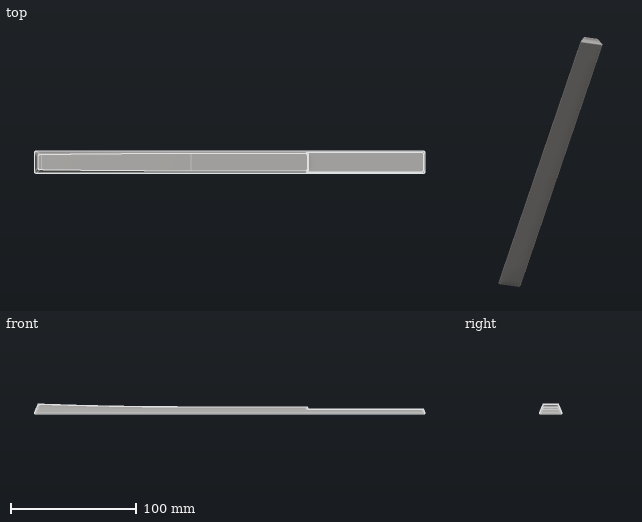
import cadquery as cq
import math

LENGTH = 312.35
WIDTH = 17.98
HEIGHT = 8.0

TONGUE_HEIGHT = 4.0
BODY_HEIGHT = 5.9

HEEL_FLAT_END = 5.8
SWEEP_END = 125.0
STEP_FOOT = 219.0

DRAFT = 23.5
CORNER_RADIUS = 1.5
RIM_RADIUS = 1.0

DRAFT_SLOPE = math.tan(math.radians(DRAFT))

RIM_INSET = RIM_RADIUS * (DRAFT_SLOPE + 1 / math.cos(math.radians(DRAFT)) - 1)


def wall_inset(height):
    """Distance of a wall at this height inward from the widest outline of the part."""
    return height * DRAFT_SLOPE - RIM_INSET


def drafted_block(end_x, bottom, top):
    """Block with leaning walls and rounded corners; its +X wall meets the bottom level at end_x."""
    inset = wall_inset(bottom)
    return (
        cq.Workplane("XY", origin=((inset + end_x) / 2, 0, bottom))
        .rect(end_x - inset, WIDTH - 2 * inset)
        .extrude(top - bottom, taper=DRAFT)
        .edges("not(#Z or |X or |Y)")
        .fillet(CORNER_RADIUS)
    )


def tongue():
    """Full-length lower part with a rounded bottom rim; its top is the tongue level."""
    block = drafted_block(LENGTH - wall_inset(0), 0, TONGUE_HEIGHT)
    return block.faces("<Z").edges().fillet(RIM_RADIUS)


def swept_top_cut():
    """Material above the body: an arc falling from the heel, tangent to the flat run, then the flat run."""
    run = SWEEP_END - HEEL_FLAT_END
    drop = HEIGHT - BODY_HEIGHT
    radius = (run**2 + drop**2) / (2 * drop)
    half_angle = math.asin(run / radius) / 2
    arc_middle = (
        SWEEP_END - radius * math.sin(half_angle),
        BODY_HEIGHT + radius * (1 - math.cos(half_angle)),
    )
    return (
        cq.Workplane("XZ", origin=(0, WIDTH / 2, 0))
        .moveTo(HEEL_FLAT_END, HEIGHT)
        .threePointArc(arc_middle, (SWEEP_END, BODY_HEIGHT))
        .lineTo(LENGTH, BODY_HEIGHT)
        .lineTo(LENGTH, HEIGHT)
        .close()
        .extrude(WIDTH)
    )


def raised_body():
    """Upper part above the tongue level, from the heel to the sloped step."""
    return drafted_block(STEP_FOOT, TONGUE_HEIGHT, HEIGHT).cut(swept_top_cut())


result = tongue().union(raised_body()).clean()